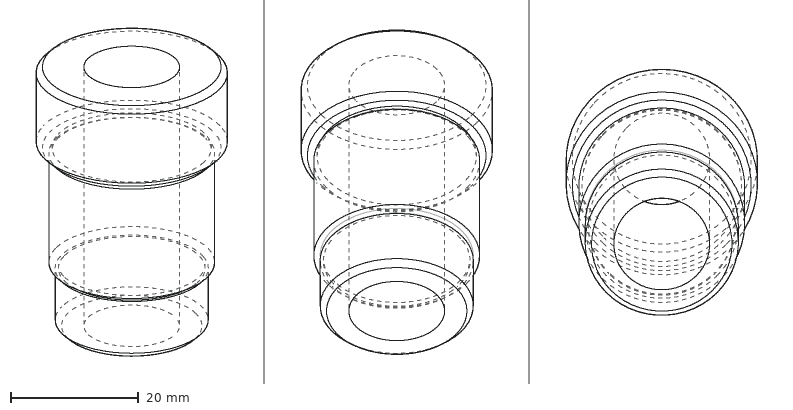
import cadquery as cq
import math

TOTAL_HEIGHT = 45.0
BORE_RADIUS = 7.5
EDGE_CHAMFER = 1.0

HEAD_RADIUS = 15.0
HEAD_HEIGHT = 14.0
BODY_RADIUS = 13.0
SPIGOT_RADIUS = 12.0
SPIGOT_HEIGHT = 11.0

GROOVE_WIDTH = 1.0
GROOVE_DEPTH = 0.5

HEAD_BOTTOM = TOTAL_HEIGHT - HEAD_HEIGHT
BODY_TOP = HEAD_BOTTOM - GROOVE_WIDTH
SPIGOT_TOP = SPIGOT_HEIGHT - GROOVE_WIDTH
HEAD_GROOVE_RADIUS = BODY_RADIUS - GROOVE_DEPTH
SPIGOT_GROOVE_RADIUS = SPIGOT_RADIUS - GROOVE_DEPTH

CORNER_MID_OFFSET = GROOVE_DEPTH * (1 - math.sqrt(0.5))


def add_spigot(section):
    """Draw the bottom face and the spigot with its chamfered lower edge."""
    return (
        section.moveTo(BORE_RADIUS, 0)
        .lineTo(SPIGOT_RADIUS - EDGE_CHAMFER, 0)
        .lineTo(SPIGOT_RADIUS, EDGE_CHAMFER)
        .lineTo(SPIGOT_RADIUS, SPIGOT_TOP)
    )


def add_spigot_groove(section):
    """Draw the groove above the spigot, rounded into the body's lower face."""
    corner_middle = (SPIGOT_GROOVE_RADIUS + CORNER_MID_OFFSET, SPIGOT_HEIGHT - CORNER_MID_OFFSET)
    return (
        section.lineTo(SPIGOT_GROOVE_RADIUS, SPIGOT_TOP)
        .lineTo(SPIGOT_GROOVE_RADIUS, SPIGOT_HEIGHT - GROOVE_DEPTH)
        .threePointArc(corner_middle, (SPIGOT_RADIUS, SPIGOT_HEIGHT))
    )


def add_body(section):
    """Draw the body's lower face and its cylindrical side."""
    return section.lineTo(BODY_RADIUS, SPIGOT_HEIGHT).lineTo(BODY_RADIUS, BODY_TOP)


def add_head_groove(section):
    """Draw the groove below the head, rounded at its lower corner."""
    corner_middle = (HEAD_GROOVE_RADIUS + CORNER_MID_OFFSET, BODY_TOP + CORNER_MID_OFFSET)
    return (
        section.threePointArc(corner_middle, (HEAD_GROOVE_RADIUS, BODY_TOP + GROOVE_DEPTH))
        .lineTo(HEAD_GROOVE_RADIUS, HEAD_BOTTOM)
    )


def add_head(section):
    """Draw the head, chamfered at both outer edges, and its top face."""
    return (
        section.lineTo(HEAD_RADIUS - EDGE_CHAMFER, HEAD_BOTTOM)
        .lineTo(HEAD_RADIUS, HEAD_BOTTOM + EDGE_CHAMFER)
        .lineTo(HEAD_RADIUS, TOTAL_HEIGHT - EDGE_CHAMFER)
        .lineTo(HEAD_RADIUS - EDGE_CHAMFER, TOTAL_HEIGHT)
        .lineTo(BORE_RADIUS, TOTAL_HEIGHT)
    )


def bushing():
    """Revolve the half section about Z; its inner side forms the through bore."""
    section = cq.Workplane("XZ")
    section = add_spigot(section)
    section = add_spigot_groove(section)
    section = add_body(section)
    section = add_head_groove(section)
    section = add_head(section)
    return section.close().revolve(360, (0, 0), (0, 1))


result = bushing()